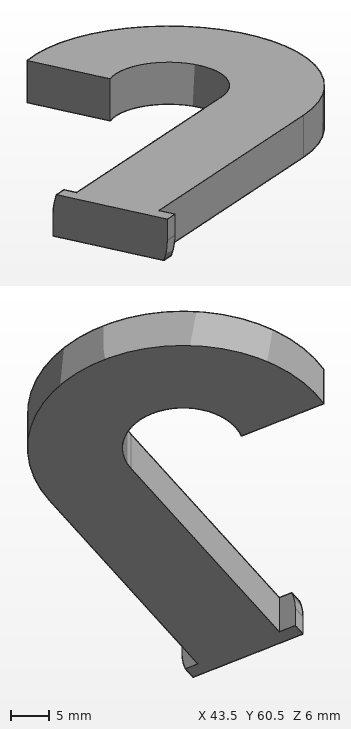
import cadquery as cq
import math

thickness = 6.0
inner_radius = 8.0
bar_width = 12.5
outer_radius = inner_radius + bar_width
bar_center_x = inner_radius + bar_width / 2
tip_y = -1.9

foot_y = -40.0
flange_thickness = 2.0
flange_radius = 8.7


def circle_x(radius, offset):
    """Half-chord of a circle at a given offset from its centre."""
    return math.sqrt(radius**2 - offset**2)


def make_hook():
    """Shank and bend; both bend arcs carry on past the half turn to the tip."""
    return (
        cq.Workplane("XY")
        .workplane(offset=-thickness / 2)
        .moveTo(inner_radius, foot_y)
        .lineTo(outer_radius, foot_y)
        .lineTo(outer_radius, 0)
        .threePointArc((0, outer_radius), (-circle_x(outer_radius, tip_y), tip_y))
        .lineTo(-circle_x(inner_radius, tip_y), tip_y)
        .threePointArc((0, inner_radius), (inner_radius, 0))
        .close()
        .extrude(thickness)
    )


def make_flange():
    """Plate with two square corners and two diagonally opposite rounded ones."""
    half_height = thickness / 2
    corner_x = circle_x(flange_radius, half_height)
    arc_mid_z = half_height / 2
    arc_mid_x = circle_x(flange_radius, arc_mid_z)
    return (
        cq.Workplane("XZ", origin=(bar_center_x, foot_y, 0))
        .moveTo(-flange_radius, -half_height)
        .lineTo(corner_x, -half_height)
        .threePointArc((arc_mid_x, -arc_mid_z), (flange_radius, 0))
        .lineTo(flange_radius, half_height)
        .lineTo(-corner_x, half_height)
        .threePointArc((-arc_mid_x, arc_mid_z), (-flange_radius, 0))
        .close()
        .extrude(-flange_thickness)
    )


result = make_hook().union(make_flange())